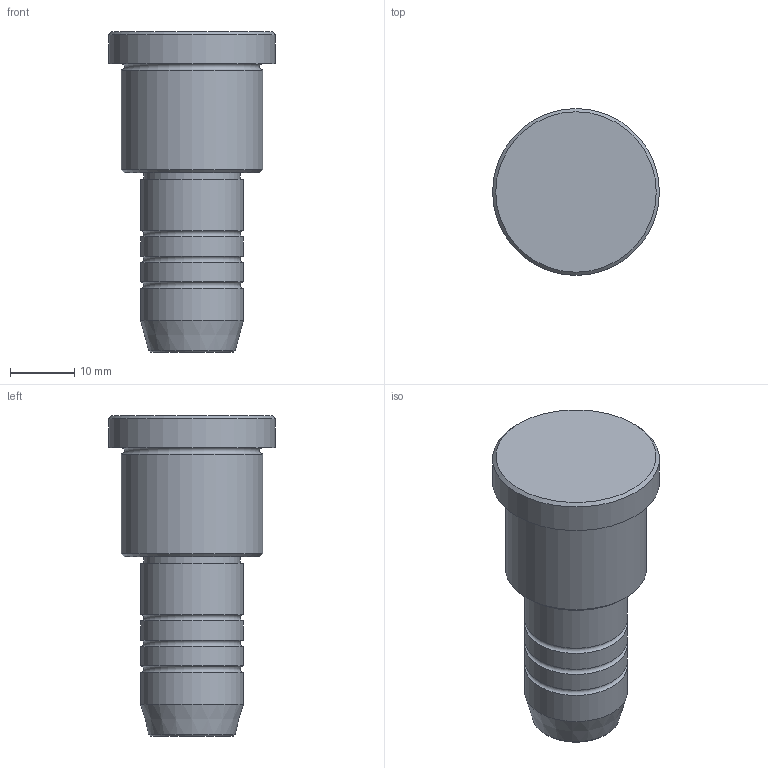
import cadquery as cq
import math

total_length = 50.0
head_thickness = 5.0
body_length = 17.0
neck_length = 1.0
taper_length = 5.0

head_radius = 13.0
body_radius = 11.0
shank_radius = 8.0
neck_radius = 7.5

edge_chamfer = 0.5
tip_chamfer = 0.3
taper_angle = 15.0

groove_radius = 0.5
shank_groove_count = 3
shank_groove_pitch = 4.0
first_groove_height = 18.5

head_bottom = total_length - head_thickness
body_bottom = head_bottom - body_length
neck_bottom = body_bottom - neck_length
taper_slope = math.tan(math.radians(taper_angle))
tip_chamfer_outer = shank_radius - (taper_length - tip_chamfer) * taper_slope
tip_radius = tip_chamfer_outer - tip_chamfer


def make_stepped_plug():
    """Revolve the head, body, neck, shank and tapered tip as one solid."""
    outline = [
        (0, 0),
        (tip_radius, 0),
        (tip_chamfer_outer, tip_chamfer),
        (shank_radius, taper_length),
        (shank_radius, neck_bottom),
        (neck_radius, neck_bottom),
        (neck_radius, body_bottom),
        (body_radius - edge_chamfer, body_bottom),
        (body_radius, body_bottom + edge_chamfer),
        (body_radius, head_bottom),
        (head_radius, head_bottom),
        (head_radius, total_length - edge_chamfer),
        (head_radius - edge_chamfer, total_length),
        (0, total_length),
    ]
    profile = cq.Workplane("XZ").polyline(outline).close()
    return profile.revolve(360, (0, 0, 0), (0, 1, 0))


def make_groove_ring(surface_radius, height):
    """Ring of circular section, centred on a cylinder of the given radius."""
    section = cq.Workplane("XZ").center(surface_radius, height).circle(groove_radius)
    return section.revolve(360, (-surface_radius, 0, 0), (-surface_radius, 1, 0))


result = make_stepped_plug()

result = result.cut(make_groove_ring(body_radius, head_bottom - groove_radius))

for index in range(shank_groove_count):
    groove_height = first_groove_height - index * shank_groove_pitch
    result = result.cut(make_groove_ring(shank_radius, groove_height))